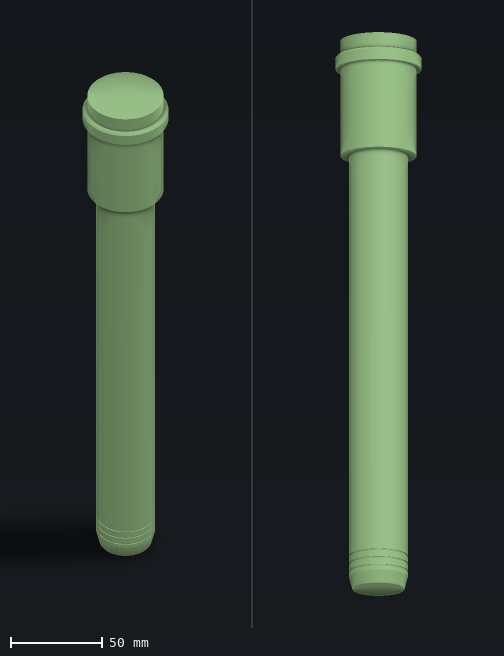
import cadquery as cq

total_height = 310.0
sleeve_bottom = 245.2
collar_bottom = 294.2
collar_height = 7.0

rod_diameter = 32.2
sleeve_diameter = 42.0
collar_diameter = 47.0
tip_diameter = 28.5

taper_height = 7.5
collar_chamfer = 1.0
tip_fillet = 1.0
groove_count = 3
groove_width = 1.0
groove_depth = 0.5
groove_pitch = 4.3
lowest_groove_bottom = 9.5
relief_width = 1.0
relief_depth = 0.3


def cylinder(diameter, bottom, top):
    """Solid cylinder on the Z axis between two heights."""
    return cq.Workplane("XY").workplane(offset=bottom).circle(diameter / 2).extrude(top - bottom)


def groove_cutter(shaft_diameter, bottom, width, depth):
    """Ring that cuts one shallow groove around a shaft."""
    outer = cylinder(shaft_diameter, bottom, bottom + width)
    return outer.cut(cylinder(shaft_diameter - 2 * depth, bottom, bottom + width))


tip = (
    cq.Workplane("XY")
    .circle(tip_diameter / 2)
    .workplane(offset=taper_height)
    .circle(rod_diameter / 2)
    .loft(ruled=True)
    .faces("<Z")
    .edges()
    .fillet(tip_fillet)
)
rod = cylinder(rod_diameter, taper_height, sleeve_bottom)
sleeve = cylinder(sleeve_diameter, sleeve_bottom, total_height)

collar = cylinder(collar_diameter, collar_bottom, collar_bottom + collar_height)
collar = collar.faces(">Z").edges().chamfer(collar_chamfer)

result = tip.union(rod).union(sleeve).union(collar)

for index in range(groove_count):
    groove_bottom = lowest_groove_bottom + index * groove_pitch
    result = result.cut(groove_cutter(rod_diameter, groove_bottom, groove_width, groove_depth))

collar_top = collar_bottom + collar_height
reliefs = [
    (sleeve_diameter, collar_top),
    (sleeve_diameter, collar_bottom - relief_width),
    (rod_diameter, sleeve_bottom - relief_width),
]
for shaft_diameter, relief_bottom in reliefs:
    result = result.cut(groove_cutter(shaft_diameter, relief_bottom, relief_width, relief_depth))